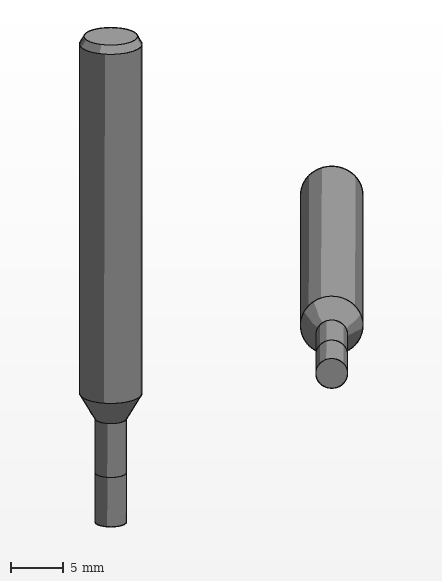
import cadquery as cq
import math

total_length = 49.0
shank_diameter = 6.0
neck_diameter = 3.05
tip_diameter = 3.05
tip_length = 5.0
neck_top = 10.45
taper_angle = 30.0
chamfer_width = 0.45
chamfer_height = 0.8

shank_radius = shank_diameter / 2
neck_radius = neck_diameter / 2
taper_height = (shank_radius - neck_radius) / math.tan(math.radians(taper_angle))
taper_top = neck_top + taper_height


def make_holder():
    """Neck, conical taper and chamfered shank, turned as one solid about Z."""
    half_profile = [
        (0, tip_length),
        (neck_radius, tip_length),
        (neck_radius, neck_top),
        (shank_radius, taper_top),
        (shank_radius, total_length - chamfer_height),
        (shank_radius - chamfer_width, total_length),
        (0, total_length),
    ]
    return cq.Workplane("XZ").polyline(half_profile).close().revolve(360, (0, 0), (0, 1))


def make_tip():
    """Plain cylinder that butts against the lower end of the neck."""
    return cq.Workplane("XY").circle(tip_diameter / 2).extrude(tip_length)


holder = make_holder()
tip = make_tip()

result = cq.Compound.makeCompound([holder.val(), tip.val()])